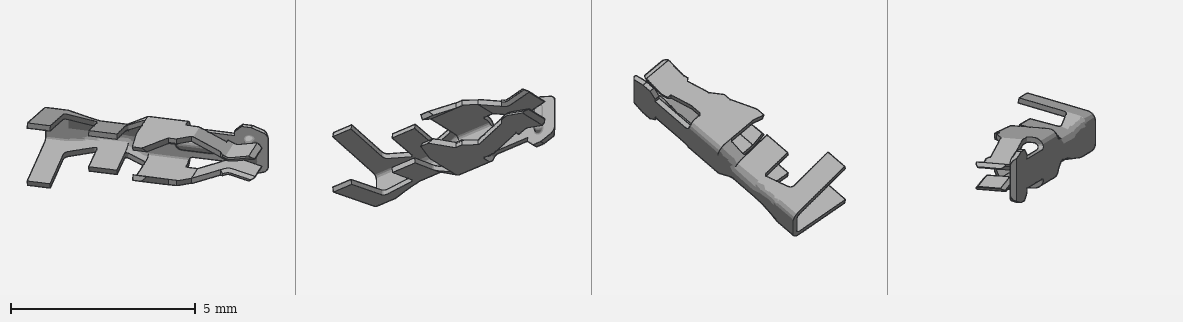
import cadquery as cq
import math


SHEET = 0.15
OVERLAP = 0.03
FAR = 3.75

TOTAL_LENGTH = 6.25
INSULATION_END = 0.645
WIRE_START = 1.545
WIRE_END = 2.34
BODY_START = 2.89
BODY_RELIEF = 4.02
FOLD_X = 4.36
HEAD_START = 5.175
FINGER_END = 6.15

INSULATION = dict(half_flat=0.295, inner_radius=0.15, lean=11.5)
WIRE = dict(half_flat=0.0, inner_radius=0.3, lean=10.0, split=45.0)
BODY = dict(half_flat=0.405, inner_radius=0.15, lean=0.0)
INSULATION_REACH = 2.0
WIRE_REACH = 1.35
NECK_REACH = 0.875

REAR_NECK_DEPTHS = (0.59, 0.43)
FRONT_NECK_DEPTHS = (0.49, 0.46)
REAR_NECK_CORNERS = (0.13, 0.075)
FRONT_NECK_CORNERS = (0.1, 0.075)

BODY_HALF_HEIGHT = BODY["half_flat"] + BODY["inner_radius"] + SHEET
ARM_INNER_Z = BODY_HALF_HEIGHT - SHEET
LIP_FOLD = 1.33
LIP_ANGLE = 28.0
LIP_LENGTH = 0.4
LIP_REACH = 1.76
LIP_CORNER_START = 3.07
LIP_CORNER_END = (3.205, -1.725)
LIP_END = 3.795
ARM_REACH = 1.36
RELIEF_DEPTH = 0.475
NECK_BOTTOM = 1.1
RELIEF_WEB_CORNER = 0.125
RELIEF_ARM_CORNER = 0.06

FINGER_SLOPE = 24.2
CONTACT_RADIUS = 0.375
CONTACT_Z = 0.105
EXIT_SLOPE = 13.0
HEAD_TOP = 0.355
HEAD_BOTTOM = 1.2
HEAD_EDGE_CHAMFER = 0.095
HEAD_STEP = 0.09
TIP_CORNER_X = 0.095
TIP_CORNER_Y = 0.075
TIP_BEVEL = 0.15
TIP_EDGE = 0.025

PLATE_START = 5.3
PLATE_SHOULDER_Z = 0.525
PLATE_TOP_START = 5.5
PLATE_TOP_END = 5.77
PLATE_CORNER_START = (6.125, 0.59)
PLATE_CORNER_MIDDLE = (6.21, 0.52)
PLATE_CORNER_END_Z = 0.4
PLATE_BEVEL = 0.13

BEAD_TURN = 76.5
BEAD_START = 3.85
BEAD_END = 4.655
BEAD_DOME = 0.195
BEAD_FOOT = 0.075
BOSS_X = 5.745
BOSS_LENGTH = 0.545
BOSS_DOME = 0.15
BOSS_FOOT = 0.07


def polar(radius, degrees):
    """Offsets along and across the zero direction."""
    angle = math.radians(degrees)
    return radius * math.cos(angle), radius * math.sin(angle)


def half_channel_wire(x, reach, half_flat, inner_radius, lean, split=0.0):
    """Closed upper half of a U section at station x.

    The web is flat up to half_flat, or round from the middle up to the split angle of the bend.
    """
    outer_radius = inner_radius + SHEET
    turn = 90.0 - lean

    def on_bend(radius, degrees):
        dy, dz = polar(radius, degrees)
        return dy - outer_radius, half_flat + dz

    arm_length = (reach + on_bend(inner_radius, turn)[0]) / math.cos(math.radians(lean))

    def arm_tip(radius):
        y, z = on_bend(radius, turn)
        dy, dz = polar(arm_length, turn + 90.0)
        return y + dy, z + dz

    def web_to(wire, degrees, radius, target):
        if split > 0:
            return wire.threePointArc(on_bend(radius, degrees), target)
        return wire.lineTo(*target)

    bend_middle = (split + turn) / 2
    wire = cq.Workplane("YZ", origin=(x, 0, 0)).moveTo(0, 0)
    wire = web_to(wire, split / 2, outer_radius, on_bend(outer_radius, split))
    wire = (
        wire.threePointArc(on_bend(outer_radius, bend_middle), on_bend(outer_radius, turn))
        .lineTo(*arm_tip(outer_radius))
        .lineTo(*arm_tip(inner_radius))
        .lineTo(*on_bend(inner_radius, turn))
        .threePointArc(on_bend(inner_radius, bend_middle), on_bend(inner_radius, split))
    )
    return web_to(wire, split / 2, inner_radius, (-SHEET, 0)).close()


def channel(start, end, reach, section):
    return half_channel_wire(start, reach, **section).extrude(end - start)


def neck(start, end, first, second, depths, corners):
    """Ruled transition between two channel sections, its arms trimmed to a sloping edge."""
    stations = ((start, first), (end, second))
    wires = [half_channel_wire(x, NECK_REACH, **section).val() for x, section in stations]
    body = cq.Workplane(cq.Solid.makeLoft(wires, True))
    trim = (
        cq.Workplane("XY")
        .polyline([(start, -FAR), (start, -depths[0]), (end, -depths[1]), (end, -FAR)])
        .close()
        .extrude(FAR, both=True)
        .edges("|Z and <X")
        .edges(">Y")
        .fillet(corners[0])
        .edges("|Z and >X")
        .edges(">Y")
        .fillet(corners[1])
    )
    return body.cut(trim)


def body_channel():
    """Channel ahead of the crimps, with bent lips and sloping lower edges on its arms."""
    body = channel(BODY_START, FOLD_X, LIP_FOLD, BODY)
    along, across = polar(LIP_LENGTH, LIP_ANGLE)
    outer_dy, outer_dz = polar(SHEET, 90.0 + LIP_ANGLE)
    mid_dy, mid_dz = polar(SHEET, 90.0 + LIP_ANGLE / 2)
    lip = (
        cq.Workplane("YZ", origin=(BODY_START, 0, 0))
        .moveTo(-LIP_FOLD, ARM_INNER_Z)
        .lineTo(-LIP_FOLD, BODY_HALF_HEIGHT)
        .threePointArc(
            (-LIP_FOLD + mid_dy, ARM_INNER_Z + mid_dz), (-LIP_FOLD + outer_dy, ARM_INNER_Z + outer_dz)
        )
        .lineTo(-LIP_FOLD + outer_dy - along, ARM_INNER_Z + outer_dz - across)
        .lineTo(-LIP_FOLD - along, ARM_INNER_Z - across)
        .close()
        .extrude(FOLD_X - BODY_START)
    )
    outline = (
        cq.Workplane("XY")
        .moveTo(BODY_START, 0)
        .lineTo(BODY_START, -LIP_REACH)
        .lineTo(LIP_CORNER_START, -LIP_REACH)
        .tangentArcPoint(LIP_CORNER_END, relative=False)
        .lineTo(LIP_END, -ARM_REACH)
        .lineTo(BODY_RELIEF, -ARM_REACH)
        .lineTo(FOLD_X, -NECK_BOTTOM)
        .lineTo(FOLD_X, 0)
        .close()
        .extrude(FAR)
    )
    relief = (
        cq.Workplane("XY")
        .box(FAR, RELIEF_DEPTH + OVERLAP, FAR, centered=False)
        .translate((BODY_RELIEF, -RELIEF_DEPTH, BODY["half_flat"]))
        .edges("<X and <Z")
        .fillet(RELIEF_WEB_CORNER)
        .edges("<X and <Y")
        .fillet(RELIEF_ARM_CORNER)
    )
    return body.union(lip).intersect(outline).cut(relief)


def finger():
    """Upper contact finger: slopes in to a round contact line, then flares out to a bevelled tip."""
    slope_length = (
        ARM_INNER_Z - CONTACT_Z - CONTACT_RADIUS * (1 - math.cos(math.radians(FINGER_SLOPE)))
    ) / math.sin(math.radians(FINGER_SLOPE))
    arc_centre_z = CONTACT_Z + CONTACT_RADIUS
    run, _ = polar(slope_length, FINGER_SLOPE)
    arc_centre_x = FOLD_X + run + polar(CONTACT_RADIUS, FINGER_SLOPE)[1]

    def on_contact(radius, degrees):
        dx, dz = polar(radius, degrees - 90.0)
        return arc_centre_x + dx, arc_centre_z + dz

    def tip(radius):
        x, z = on_contact(radius, EXIT_SLOPE)
        return FINGER_END, z + (FINGER_END - x) * math.tan(math.radians(EXIT_SLOPE))

    def on_fold(degrees):
        dx, dz = polar(SHEET, 90.0 - degrees)
        return FOLD_X + dx, ARM_INNER_Z + dz

    outer_radius = CONTACT_RADIUS - SHEET
    band = (
        cq.Workplane("XZ", origin=(0, -HEAD_TOP, 0))
        .moveTo(FOLD_X, ARM_INNER_Z)
        .lineTo(*on_contact(CONTACT_RADIUS, -FINGER_SLOPE))
        .threePointArc(on_contact(CONTACT_RADIUS, 0), on_contact(CONTACT_RADIUS, EXIT_SLOPE))
        .lineTo(*tip(CONTACT_RADIUS))
        .lineTo(*tip(outer_radius))
        .lineTo(*on_contact(outer_radius, EXIT_SLOPE))
        .threePointArc(on_contact(outer_radius, 0), on_contact(outer_radius, -FINGER_SLOPE))
        .lineTo(*on_fold(FINGER_SLOPE))
        .threePointArc(on_fold(FINGER_SLOPE / 2), on_fold(0))
        .close()
        .extrude(HEAD_BOTTOM - HEAD_TOP)
    )
    neck_zone = (
        cq.Workplane("XY")
        .box(HEAD_START - FOLD_X, NECK_BOTTOM - RELIEF_DEPTH, FAR, centered=False)
        .translate((FOLD_X, -NECK_BOTTOM, 0))
    )
    head_zone = (
        cq.Workplane("XY")
        .polyline(
            [
                (HEAD_START, -HEAD_TOP),
                (FINGER_END - TIP_CORNER_X, -HEAD_TOP),
                (FINGER_END, -HEAD_TOP - TIP_CORNER_Y),
                (FINGER_END, -HEAD_BOTTOM + TIP_CORNER_Y),
                (FINGER_END - TIP_CORNER_X, -HEAD_BOTTOM),
                (HEAD_START + HEAD_STEP, -HEAD_BOTTOM),
                (HEAD_START, -NECK_BOTTOM),
            ]
        )
        .close()
        .extrude(FAR)
    )
    contact_edges = [
        band.edges(cq.selectors.NearestToPointSelector((arc_centre_x, -depth, CONTACT_Z))).val()
        for depth in (HEAD_TOP, HEAD_BOTTOM)
    ]
    head = band.newObject(contact_edges).chamfer(HEAD_EDGE_CHAMFER)
    tip_z = tip(CONTACT_RADIUS)[1]
    bevel_x = FINGER_END - TIP_BEVEL
    bevel_z = tip(outer_radius)[1] - TIP_BEVEL * math.tan(math.radians(EXIT_SLOPE))
    bevel = (
        cq.Workplane("XZ")
        .polyline([(FINGER_END, tip_z + TIP_EDGE), (bevel_x, bevel_z), (bevel_x, FAR), (FINGER_END, FAR)])
        .close()
        .extrude(FAR)
    )
    return band.intersect(neck_zone).union(head.intersect(head_zone).cut(bevel))


def tongue():
    """Upper half of the flat web ahead of the body, ending in a wider plate with a bevelled end."""
    half_height = BODY["half_flat"]
    plate = (
        cq.Workplane("XZ")
        .moveTo(BODY_RELIEF, 0)
        .lineTo(BODY_RELIEF, half_height)
        .lineTo(PLATE_START, half_height)
        .lineTo(PLATE_START, PLATE_SHOULDER_Z)
        .lineTo(PLATE_TOP_START, BODY_HALF_HEIGHT)
        .lineTo(PLATE_TOP_END, BODY_HALF_HEIGHT)
        .lineTo(*PLATE_CORNER_START)
        .threePointArc(PLATE_CORNER_MIDDLE, (TOTAL_LENGTH, PLATE_CORNER_END_Z))
        .lineTo(TOTAL_LENGTH, 0)
        .close()
        .extrude(SHEET)
    )
    bevel_start = TOTAL_LENGTH - PLATE_BEVEL
    bevel = (
        cq.Workplane("XY")
        .polyline([(bevel_start, 0), (bevel_start + FAR, -FAR), (bevel_start + FAR, 0)])
        .close()
        .extrude(FAR)
    )
    return plate.cut(bevel)


def bead(dome, foot, length):
    """Bead along +X from the origin: a domed top with round ends and a hollow foot on the web."""
    dome_rise, dome_reach = polar(dome, BEAD_TURN)
    foot_rise, foot_reach = polar(foot, BEAD_TURN)
    dome_middle_rise, dome_middle_reach = polar(dome, BEAD_TURN / 2)
    foot_middle_rise, foot_middle_reach = polar(foot, BEAD_TURN / 2)
    base_reach = dome_reach + foot_reach
    shoulder = SHEET + foot - foot_rise
    crest = shoulder + dome - dome_rise
    buried = SHEET - OVERLAP
    half_profile = (
        cq.Workplane("XY")
        .moveTo(0, -buried)
        .lineTo(base_reach, -buried)
        .lineTo(base_reach, -SHEET)
        .threePointArc(
            (base_reach - foot_middle_reach, -SHEET - foot + foot_middle_rise), (dome_reach, -shoulder)
        )
        .threePointArc((dome_middle_reach, -crest + dome - dome_middle_rise), (0, -crest))
        .close()
    )
    round_end = half_profile.revolve(360, (0, 0), (0, 1))
    half_ridge = half_profile.toPending().extrude(length).rotate((0, 0, 0), (0, 1, 0), 90)
    ridge = half_ridge.union(half_ridge.mirror("XY"))
    return ridge.union(round_end).union(round_end.translate((length, 0, 0)))


long_bead = bead(BEAD_DOME, BEAD_FOOT, BEAD_END - BEAD_START).translate((BEAD_START, 0, 0))
stop_boss = (
    bead(BOSS_DOME, BOSS_FOOT, BOSS_LENGTH)
    .translate((-BOSS_LENGTH / 2, 0, 0))
    .rotate((0, 0, 0), (0, 1, 0), 90)
    .translate((BOSS_X, 0, 0))
)

upper_half = (
    channel(0, INSULATION_END, INSULATION_REACH, INSULATION)
    .union(neck(INSULATION_END, WIRE_START, INSULATION, WIRE, REAR_NECK_DEPTHS, REAR_NECK_CORNERS))
    .union(channel(WIRE_START, WIRE_END, WIRE_REACH, WIRE))
    .union(neck(WIRE_END, BODY_START, WIRE, BODY, FRONT_NECK_DEPTHS, FRONT_NECK_CORNERS))
    .union(body_channel())
    .union(tongue())
    .union(finger())
)
result = upper_half.union(upper_half.mirror("XY")).union(long_bead).union(stop_boss)